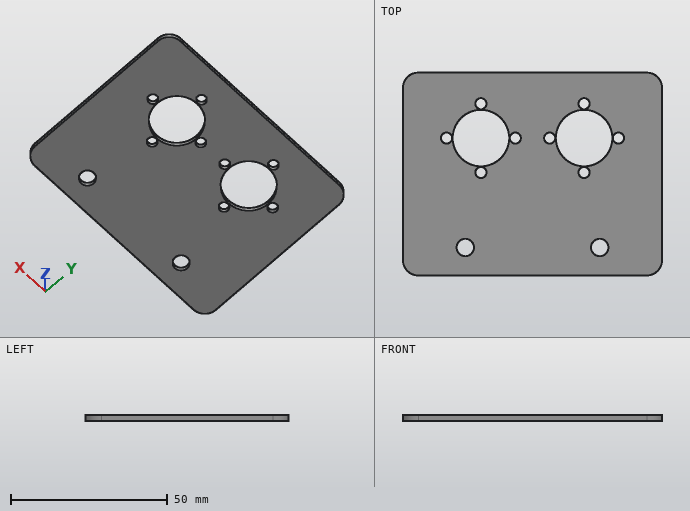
import cadquery as cq

plate_length = 83.0
plate_width = 65.0
plate_thickness = 2.0
corner_radius = 5.0

opening_diameter = 18.0
opening_spacing = 33.0
opening_y = 11.5
screw_hole_diameter = 3.5
screw_circle_radius = 11.0
screws_per_opening = 4

mount_hole_diameter = 5.5
mount_hole_spacing = 43.0
mount_hole_y = -23.5


def make_plate():
    """Rectangular plate with rounded corners, resting on Z = 0."""
    plate = cq.Workplane("XY").box(
        plate_length, plate_width, plate_thickness, centered=(True, True, False)
    )
    return plate.edges("|Z").fillet(corner_radius)


def cut_connector_opening(plate, center_x):
    """Cut one large round opening and its ring of screw holes."""
    face = plate.faces(">Z").workplane(origin=(center_x, opening_y, 0))
    plate = face.hole(opening_diameter)
    face = plate.faces(">Z").workplane(origin=(center_x, opening_y, 0))
    ring = face.polarArray(screw_circle_radius, 0, 360, screws_per_opening)
    return ring.hole(screw_hole_diameter)


def cut_mount_holes(plate):
    """Cut the pair of mounting holes, symmetric about X = 0."""
    face = plate.faces(">Z").workplane(origin=(0, mount_hole_y, 0))
    holes = face.rarray(mount_hole_spacing, 1, 2, 1)
    return holes.hole(mount_hole_diameter)


result = make_plate()
for side in (-1, 1):
    result = cut_connector_opening(result, side * opening_spacing / 2)
result = cut_mount_holes(result)